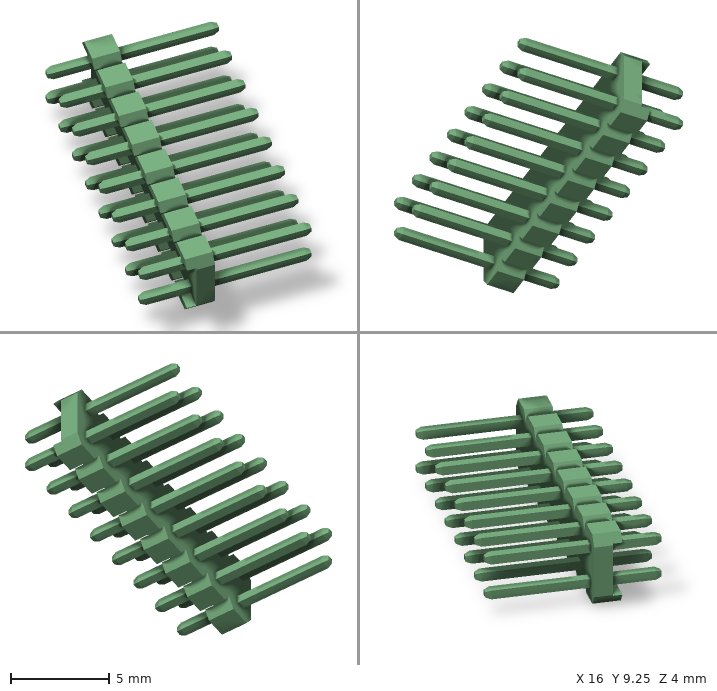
import cadquery as cq


pitch = 2.0
columns = 8
rows = 2

pin_width = 0.5
tip_width = 0.3
tip_length = 0.3
long_pin_length = 5.5
short_pin_length = 2.75

body_length = columns * pitch
body_height = rows * pitch
body_thickness = 1.0
lip_projection = 0.5
lip_height = 0.5
crest_width = 1.2
root_gap = 0.1

notch_width = pitch - crest_width
notch_depth = lip_height * notch_width / (notch_width - root_gap)


def centred_positions(count):
    """Positions of `count` items spaced by the pitch about zero."""
    return [(i - (count - 1) / 2) * pitch for i in range(count)]


def block(length, depth, height, y_front):
    """Box centred in X and Z whose front face is at y_front."""
    box = cq.Workplane("XY").box(length, depth, height, centered=(True, False, True))
    return box.translate((0, y_front, 0))


def make_notch_cutters():
    """V-shaped prisms along Y at every column boundary, on both long edges."""
    half_opening = notch_width / 2
    edge = body_height / 2
    cutters = cq.Workplane("XY")
    for x in centred_positions(columns + 1):
        for side in (1, -1):
            notch = (
                cq.Workplane("XZ", origin=(0, body_thickness, 0))
                .moveTo(x - half_opening, side * edge)
                .lineTo(x, side * (edge - notch_depth))
                .lineTo(x + half_opening, side * edge)
                .close()
                .extrude(body_thickness + lip_projection)
            )
            cutters = cutters.add(notch)
    return cutters.vals()


def make_body():
    """Notched bar with a recessed front face between the two lips."""
    body = block(body_length, body_thickness + lip_projection, body_height, -lip_projection)
    recess_height = body_height - 2 * lip_height
    body = body.cut(block(body_length, lip_projection, recess_height, -lip_projection))
    for cutter in make_notch_cutters():
        body = body.cut(cq.Workplane(cutter))
    return body


def make_tip(y_base, direction):
    """Tapered pin end that starts at y_base and points along +Y or -Y."""
    plane = cq.Plane(origin=(0, y_base, 0), xDir=(1, 0, 0), normal=(0, direction, 0))
    return (
        cq.Workplane(plane)
        .rect(pin_width, pin_width)
        .workplane(offset=tip_length)
        .rect(tip_width, tip_width)
        .loft(ruled=True)
    )


def make_pin():
    """Straight square pin on the Y axis, tapered at both ends."""
    shank_front = tip_length - short_pin_length
    shank_back = body_thickness + long_pin_length - tip_length
    shank = block(pin_width, shank_back - shank_front, pin_width, shank_front)
    return shank.union(make_tip(shank_front, -1)).union(make_tip(shank_back, 1))


result = make_body()
pin = make_pin()
for pin_x in centred_positions(columns):
    for pin_z in centred_positions(rows):
        result = result.union(pin.translate((pin_x, 0, pin_z)))